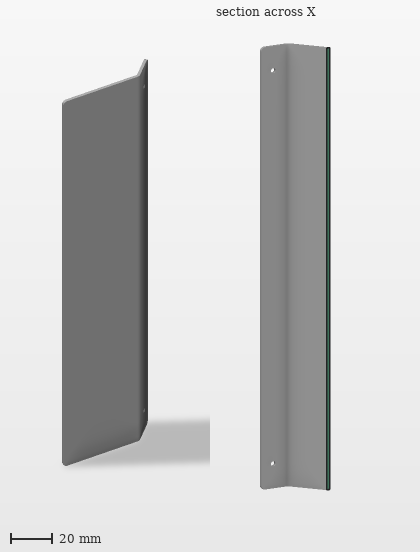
import cadquery as cq
import math

height = 225.0
thickness = 1.5
flange_length = 15.0
leg_run = 30.0
bend_angle = 45.0
inner_bend_radius = 1.5
outer_bend_radius = inner_bend_radius + thickness
corner_radius = 2.0

hole_diameter = 2.5
hole_spacing = 200.0
hole_edge_distance = 6.5

slope = math.radians(bend_angle)
leg_direction = (-math.sin(slope), -math.cos(slope))
leg_normal = (-math.cos(slope), math.sin(slope))
leg_length = leg_run / math.sin(slope)

outer_x = leg_run + thickness * math.cos(slope)
inner_x = outer_x - thickness
inner_bend_y = thickness * math.tan(slope / 2)


def bent_strip():
    leg_outer_end = (
        outer_x + leg_length * leg_direction[0],
        leg_length * leg_direction[1],
    )
    leg_inner_end = (
        leg_outer_end[0] + thickness * leg_normal[0],
        leg_outer_end[1] + thickness * leg_normal[1],
    )
    strip = (
        cq.Workplane("XY")
        .moveTo(outer_x, flange_length)
        .lineTo(outer_x, 0)
        .lineTo(*leg_outer_end)
        .lineTo(*leg_inner_end)
        .lineTo(inner_x, inner_bend_y)
        .lineTo(inner_x, flange_length)
        .close()
        .extrude(height / 2, both=True)
    )
    inner_bend = cq.selectors.NearestToPointSelector((inner_x, inner_bend_y, 0))
    outer_bend = cq.selectors.NearestToPointSelector((outer_x, 0, 0))
    strip = strip.edges("|Z").edges(inner_bend).fillet(inner_bend_radius)
    return strip.edges("|Z").edges(outer_bend).fillet(outer_bend_radius)


def round_free_corners(strip):
    flange_corners = strip.faces(">Y").edges("|X")
    strip = flange_corners.fillet(corner_radius)
    leg_end = cq.selectors.DirectionMinMaxSelector(cq.Vector(*leg_direction, 0))
    leg_normal_edges = cq.selectors.ParallelDirSelector(cq.Vector(*leg_normal, 0))
    return strip.faces(leg_end).edges(leg_normal_edges).fillet(corner_radius)


def mounting_holes():
    return (
        cq.Workplane("YZ", origin=(inner_x, flange_length - hole_edge_distance, 0))
        .rarray(1, hole_spacing, 1, 2)
        .circle(hole_diameter / 2)
        .extrude(thickness)
    )


result = round_free_corners(bent_strip()).cut(mounting_holes())